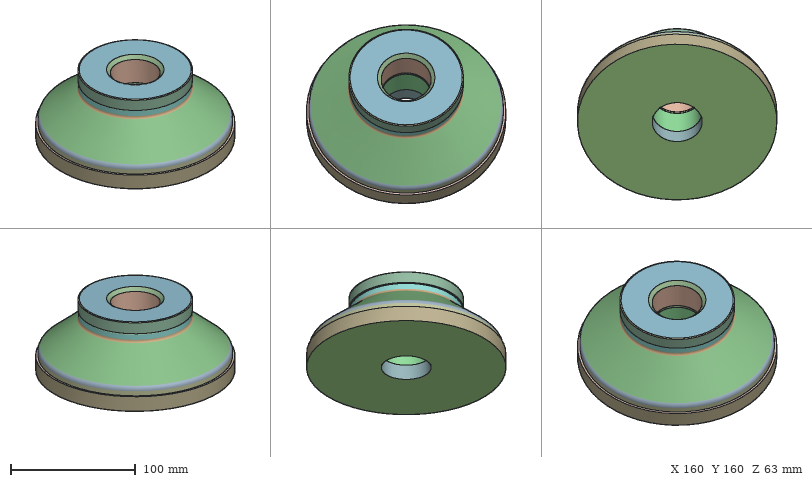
import cadquery as cq
import math

height = 63.0
base_radius = 80.0
base_height = 13.0

rim_radius = 156.3 / 2
rim_top = 16.8
shoulder_radius = 5.0
cone_angle = math.radians(38.6)
cone_top = 44.8
root_radius = 3.0
collar_radius = 92.0 / 2
collar_bottom = 53.0
collar_face_radius = 90.0 / 2
collar_edge_height = 0.5
neck_radius = 91.0 / 2
neck_top_radius = 88.5 / 2

bore_radius = 40.0 / 2
relief_radius = 40.2 / 2
relief_bottom = 36.2
relief_top = 38.0
countersink_radius = 46.0 / 2


def arc_point(centre_r, centre_z, radius, angle):
    """Point on an arc in the radius-height plane, at an angle from the radial direction."""
    return (centre_r + radius * math.cos(angle), centre_z + radius * math.sin(angle))


def make_base():
    """Flat disc under the hub, with the bore through it."""
    return cq.Workplane("XY").circle(base_radius).circle(bore_radius).extrude(base_height)


def make_hub():
    """Revolved hub: straight rim, rounded shoulder, cone, rounded root, round-edged neck and collar."""
    normal = math.pi / 2 - cone_angle
    shoulder_r = rim_radius - shoulder_radius
    shoulder_mid = arc_point(shoulder_r, rim_top, shoulder_radius, normal / 2)
    shoulder_end = arc_point(shoulder_r, rim_top, shoulder_radius, normal)
    root_r = neck_radius + root_radius
    root_z = cone_top + root_radius * math.sin(normal)
    root_start = arc_point(root_r, root_z, root_radius, math.pi + normal)
    root_mid = arc_point(root_r, root_z, root_radius, math.pi + normal / 2)
    neck_edge = neck_radius - neck_top_radius
    neck_edge_mid = arc_point(neck_top_radius, collar_bottom - neck_edge, neck_edge, math.pi / 4)
    countersink_depth = countersink_radius - bore_radius
    return (
        cq.Workplane("XZ")
        .moveTo(bore_radius, base_height)
        .lineTo(rim_radius, base_height)
        .lineTo(rim_radius, rim_top)
        .threePointArc(shoulder_mid, shoulder_end)
        .lineTo(*root_start)
        .threePointArc(root_mid, (neck_radius, root_z))
        .lineTo(neck_radius, collar_bottom - neck_edge)
        .threePointArc(neck_edge_mid, (neck_top_radius, collar_bottom))
        .lineTo(collar_radius, collar_bottom)
        .lineTo(collar_radius, height - collar_edge_height)
        .lineTo(collar_face_radius, height)
        .lineTo(countersink_radius, height)
        .lineTo(bore_radius, height - countersink_depth)
        .lineTo(bore_radius, relief_top)
        .lineTo(relief_radius, relief_top)
        .lineTo(relief_radius, relief_bottom)
        .lineTo(bore_radius, relief_bottom)
        .close()
        .revolve(360, (0, 0, 0), (0, 1, 0))
    )


base = make_base()
hub = make_hub()

result = cq.Compound.makeCompound([base.val(), hub.val()])